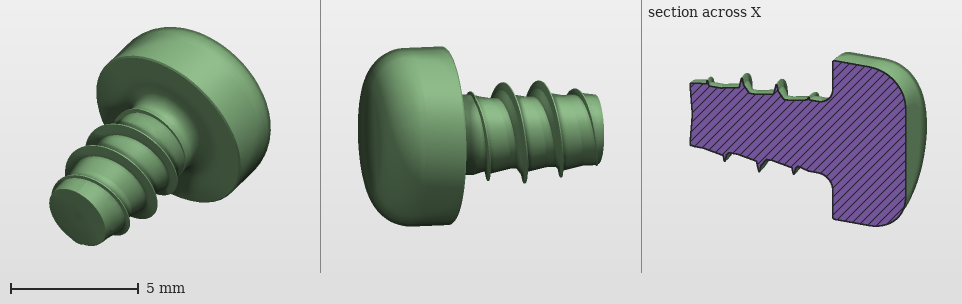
import math

import cadquery as cq


HEAD_RADIUS = 3.5
HEAD_HEIGHT = 3.09
HEAD_ROUND = 1.54
HEAD_EDGE_CHAMFER = 0.06

NECK_RADIUS = 1.58
NECK_FILLET = 0.61
NECK_END_DEPTH = 1.0
CORE_RADIUS = 1.40
CORE_START_DEPTH = 1.65
SHANK_LENGTH = 6.0

TIP_RADIUS = 1.365
TIP_TAPER_SLOPE = 0.165
TIP_HOLLOW_RADIUS = 1.305
TIP_HOLLOW_DEPTH = 0.10

PITCH = 1.455
CREST_DEPTH_AT_X = 1.99
THREAD_START_DEPTH = 1.0
RIDGE_START_TRAVEL = 0.25
CREST_RADIUS = 2.0
FULL_CREST_START = 2.35
FULL_CREST_END = 3.85
RUN_IN_SLOPE = 0.21
RUN_OUT_SLOPE = 0.27

CREST_HALF_WIDTH = 0.022
FLANK_SLOPE = 0.225
KINK_DROP = 0.30
FOOT_SLOPE = 0.73
RIDGE_DEPTH = 0.70

SWELL_SLOPE = 0.20
SWELL_LENGTH = 0.89
SWELL_ROOT_RADIUS = 1.31

POINTS_PER_TURN = 16
OVERRUN = 0.5 * PITCH


def ridge_crest(travel):
    """Depth and radius of the crest: it starts as a level ring, rises, then falls toward the tip."""
    depth = max(travel, THREAD_START_DEPTH)
    run_in = RUN_IN_SLOPE * max(0.0, FULL_CREST_START - travel)
    run_out = RUN_OUT_SLOPE * max(0.0, travel - FULL_CREST_END)
    return depth, CREST_RADIUS - run_in - run_out


def helix_on_axis(travel):
    """Depth along an even helix, with section heights measured from the axis."""
    return travel, 0.0


def helix_point(path, travel, corner):
    """Place one section corner (axial offset, height above the path) on the helix."""
    depth, base_radius = path(travel)
    offset, height = corner
    radius = base_radius + height
    angle = 2 * math.pi * (travel - CREST_DEPTH_AT_X) / PITCH
    return cq.Vector(radius * math.cos(angle), -(depth + offset), radius * math.sin(angle))


def helix_edge(path, corner, start, end):
    """Curve traced by one section corner between two travel values."""
    steps = math.ceil(POINTS_PER_TURN * (end - start) / PITCH)
    travels = [start + (end - start) * i / steps for i in range(steps + 1)]
    return cq.Edge.makeSpline([helix_point(path, travel, corner) for travel in travels])


def helical_solid(section, path, stations):
    """Sweep a polygonal section along the path, with a separate face for each stretch of it."""
    faces = []
    for start, end in zip(stations, stations[1:]):
        edges = [helix_edge(path, corner, start, end) for corner in section]
        for edge, following in zip(edges, edges[1:] + edges[:1]):
            faces.append(cq.Face.makeRuledSurface(edge, following))
    for travel in (stations[0], stations[-1]):
        outline = [helix_point(path, travel, corner) for corner in section]
        faces.append(cq.Face.makeFromWires(cq.Wire.makePolygon(outline, close=True)))
    return cq.Workplane(cq.Solid.makeSolid(cq.Shell.makeShell(faces)))


def turned(sketch):
    """Revolve a half outline of (Y, Z) points around the Y axis."""
    return sketch.close().revolve(360, (0, 0, 0), (1, 0, 0))


def make_head_and_neck():
    """Head, neck and the cone that leads down to the core, as one turned body."""
    round_middle = HEAD_ROUND * math.sqrt(0.5)
    round_center_y = HEAD_HEIGHT - HEAD_ROUND
    round_center_r = HEAD_RADIUS - HEAD_ROUND
    fillet_middle = NECK_FILLET * (1 - math.sqrt(0.5))
    return turned(
        cq.Workplane("YZ")
        .moveTo(HEAD_HEIGHT, 0)
        .lineTo(HEAD_HEIGHT, round_center_r)
        .threePointArc(
            (round_center_y + round_middle, round_center_r + round_middle),
            (round_center_y, HEAD_RADIUS),
        )
        .lineTo(HEAD_EDGE_CHAMFER, HEAD_RADIUS)
        .lineTo(0, HEAD_RADIUS - HEAD_EDGE_CHAMFER)
        .lineTo(0, NECK_RADIUS + NECK_FILLET)
        .threePointArc(
            (-fillet_middle, NECK_RADIUS + fillet_middle),
            (-NECK_FILLET, NECK_RADIUS),
        )
        .lineTo(-NECK_END_DEPTH, NECK_RADIUS)
        .lineTo(-CORE_START_DEPTH, CORE_RADIUS)
        .lineTo(-CORE_START_DEPTH, 0)
    )


def make_ridge():
    """Sharp thread ridge with a sloped foot on its head side, cut flat at the tip."""
    kink = -(CREST_HALF_WIDTH + FLANK_SLOPE * KINK_DROP)
    section = [
        (kink - FOOT_SLOPE * (RIDGE_DEPTH - KINK_DROP), -RIDGE_DEPTH),
        (kink, -KINK_DROP),
        (-CREST_HALF_WIDTH, 0),
        (CREST_HALF_WIDTH, 0),
        (CREST_HALF_WIDTH + FLANK_SLOPE * RIDGE_DEPTH, -RIDGE_DEPTH),
    ]
    stations = [
        RIDGE_START_TRAVEL,
        THREAD_START_DEPTH,
        FULL_CREST_START,
        FULL_CREST_END,
        SHANK_LENGTH + OVERRUN,
    ]
    shank_space = cq.Workplane("XZ").circle(HEAD_RADIUS).extrude(SHANK_LENGTH)
    return helical_solid(section, ridge_crest, stations).intersect(shank_space)


def make_core():
    """Cylinder with a helical cone that widens it below each turn, trimmed to the tip taper."""
    root_offset = SWELL_LENGTH + (CORE_RADIUS - SWELL_ROOT_RADIUS) / SWELL_SLOPE
    section = [
        (0, SWELL_ROOT_RADIUS),
        (0, CORE_RADIUS + SWELL_SLOPE * SWELL_LENGTH),
        (root_offset, SWELL_ROOT_RADIUS),
    ]
    stations = [NECK_END_DEPTH - OVERRUN, SHANK_LENGTH + OVERRUN]
    envelope = turned(
        cq.Workplane("YZ")
        .lineTo(0, TIP_RADIUS + TIP_TAPER_SLOPE * SHANK_LENGTH)
        .lineTo(-SHANK_LENGTH, TIP_RADIUS)
        .lineTo(-SHANK_LENGTH, 0)
    )
    cylinder = turned(
        cq.Workplane("YZ")
        .lineTo(0, CORE_RADIUS)
        .lineTo(-(SHANK_LENGTH + OVERRUN), CORE_RADIUS)
        .lineTo(-(SHANK_LENGTH + OVERRUN), 0)
    )
    swell = helical_solid(section, helix_on_axis, stations)
    return cylinder.union(swell).intersect(envelope)


def make_tip_hollow():
    """Shallow cone sunk into the end face."""
    return turned(
        cq.Workplane("YZ")
        .moveTo(-SHANK_LENGTH, 0)
        .lineTo(-SHANK_LENGTH, TIP_HOLLOW_RADIUS)
        .lineTo(-(SHANK_LENGTH - TIP_HOLLOW_DEPTH), 0)
    )


result = make_core().union(make_head_and_neck()).union(make_ridge()).cut(make_tip_hollow())